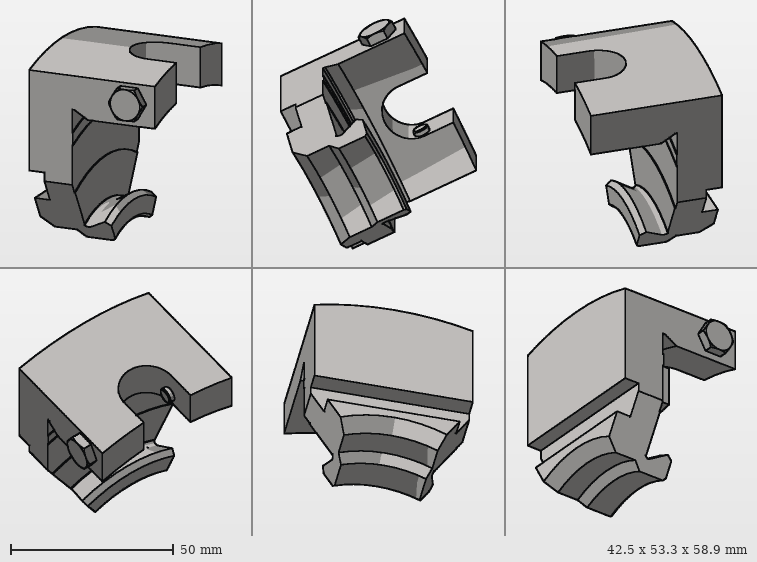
import cadquery as cq
import math

LENGTH = 42.5
WIDTH = 50.05
HEIGHT = 58.85
AXIS_Z = -28.25
TOP_RADIUS = HEIGHT - AXIS_Z

WALL_X = 14.55
ARM_INNER_RADIUS = 74.15
RELIEF_RADIUS = 76.7
RELIEF_FLAT_X = 15.3
RELIEF_END_X = 19.8

TAPER_START_Z = 20.0
BOTTOM_HALF_WIDTH = 13.4
BOTTOM_RADIUS = math.hypot(BOTTOM_HALF_WIDTH, AXIS_Z)

GROOVE_DEPTH = 5.1
GROOVE_BOTTOM_Z = 12.85
GROOVE_TOP_Z = 22.8

FOOT_RADIUS = 34.0
FOOT_CHAMFER_RADIUS = 37.95
FOOT_START_X = 4.05
FOOT_END_X = 11.6
LIP_START_X = 14.25

HOOK_X = 24.1
LIP_CHAMFER = 0.8
CATCH_BASE_RADIUS = 37.85
CATCH_X = 22.15
CATCH_RADIUS = 39.25
ROOT_END_X = 16.85
ROOT_END_RADIUS = 36.2
ROOT_MID_X = 15.7
ROOT_FLOOR_RADIUS = 35.95
ROOT_START_RADIUS = 36.65

PAD_HEIGHT = 0.265
LOWER_PAD_RADIUS = 50.9
BAND_INNER_RADIUS = 65.85
BAND_OUTER_RADIUS = 69.75

SLOT_WIDTH = 18.0
SLOT_END_X = 23.5

BOLT_X = 33.85
BOLT_Z = 49.0
HEAD_FLATS = 10.0
HEAD_HEIGHT = 3.2
HEAD_CHAMFER_ANGLE = 30.0
PIN_X = 31.9
PIN_Z = 49.0
PIN_DIAMETER = 5.0
PIN_PROJECTION = 1.9
PIN_CHAMFER = 0.35
PIN_EMBED = 1.2


def end_prism():
    """Prism along X with a straight upper part and a tapered lower part."""
    half = WIDTH / 2
    return (
        cq.Workplane("YZ")
        .polyline([
            (-BOTTOM_HALF_WIDTH, 0),
            (BOTTOM_HALF_WIDTH, 0),
            (half, TAPER_START_Z),
            (half, HEIGHT),
            (-half, HEIGHT),
            (-half, TAPER_START_Z),
        ])
        .close()
        .extrude(LENGTH)
    )


def turned_body():
    """Side profile of foot, wall and arm, turned about the common axis."""
    def at(x, radius):
        return (x, AXIS_Z + radius)

    pad_x = WALL_X + PAD_HEIGHT
    profile = (
        cq.Workplane("XZ")
        .moveTo(*at(0, TOP_RADIUS))
        .lineTo(*at(0, FOOT_CHAMFER_RADIUS))
        .lineTo(*at(FOOT_START_X, FOOT_RADIUS))
        .lineTo(*at(FOOT_END_X, FOOT_RADIUS))
        .lineTo(*at(LIP_START_X, BOTTOM_RADIUS))
        .lineTo(*at(HOOK_X - LIP_CHAMFER, BOTTOM_RADIUS))
        .lineTo(*at(HOOK_X, BOTTOM_RADIUS + LIP_CHAMFER))
        .lineTo(*at(HOOK_X, CATCH_BASE_RADIUS))
        .lineTo(*at(CATCH_X, CATCH_RADIUS))
        .lineTo(*at(ROOT_END_X, ROOT_END_RADIUS))
        .threePointArc(at(ROOT_MID_X, ROOT_FLOOR_RADIUS), at(WALL_X, ROOT_START_RADIUS))
        .lineTo(*at(pad_x, ROOT_START_RADIUS))
        .lineTo(*at(pad_x, LOWER_PAD_RADIUS))
        .lineTo(*at(WALL_X, LOWER_PAD_RADIUS))
        .lineTo(*at(WALL_X, BAND_INNER_RADIUS))
        .lineTo(*at(pad_x, BAND_INNER_RADIUS))
        .lineTo(*at(pad_x, BAND_OUTER_RADIUS))
        .lineTo(*at(WALL_X, BAND_OUTER_RADIUS))
        .lineTo(*at(WALL_X, RELIEF_RADIUS))
        .lineTo(*at(RELIEF_FLAT_X, RELIEF_RADIUS))
        .lineTo(*at(RELIEF_END_X, ARM_INNER_RADIUS))
        .lineTo(*at(LENGTH, ARM_INNER_RADIUS))
        .lineTo(*at(LENGTH, TOP_RADIUS))
        .close()
    )
    return profile.revolve(360, (0, AXIS_Z, 0), (1, AXIS_Z, 0))


def groove():
    """Groove across the full width of the outer face."""
    return (
        cq.Workplane("XY", origin=(0, 0, GROOVE_BOTTOM_Z))
        .rect(2 * GROOVE_DEPTH, WIDTH)
        .extrude(GROOVE_TOP_Z - GROOVE_BOTTOM_Z)
    )


def arm_slot():
    """Round-ended slot open at the free end of the arm."""
    radius = SLOT_WIDTH / 2
    center_x = SLOT_END_X + radius
    return (
        cq.Workplane("XY", origin=(0, 0, GROOVE_TOP_Z))
        .moveTo(LENGTH, -radius)
        .lineTo(center_x, -radius)
        .threePointArc((SLOT_END_X, 0), (center_x, radius))
        .lineTo(LENGTH, radius)
        .close()
        .extrude(HEIGHT - GROOVE_TOP_Z)
    )


def bolt_head():
    """Hexagonal head with its outer corners turned to a cone."""
    corners = HEAD_FLATS / math.cos(math.pi / 6)
    face_radius = HEAD_FLATS / 2
    rim_radius = corners / 2
    cone_depth = (rim_radius - face_radius) * math.tan(math.radians(HEAD_CHAMFER_ANGLE))
    hexagon = (
        cq.Workplane("XZ", origin=(BOLT_X, -WIDTH / 2, BOLT_Z))
        .polygon(6, corners)
        .extrude(HEAD_HEIGHT)
    )
    envelope = (
        cq.Workplane("XY", origin=(BOLT_X, -WIDTH / 2, BOLT_Z))
        .polyline([
            (0, 0),
            (rim_radius, 0),
            (rim_radius, cone_depth - HEAD_HEIGHT),
            (face_radius, -HEAD_HEIGHT),
            (0, -HEAD_HEIGHT),
        ])
        .close()
        .revolve(360, (0, 0, 0), (0, 1, 0))
    )
    return hexagon.intersect(envelope)


def slot_pin():
    """Chamfered pin standing out of the +Y wall of the slot."""
    return (
        cq.Workplane("XZ", origin=(PIN_X, SLOT_WIDTH / 2 + PIN_EMBED, PIN_Z))
        .circle(PIN_DIAMETER / 2)
        .extrude(PIN_PROJECTION + PIN_EMBED)
        .faces("<Y")
        .chamfer(PIN_CHAMFER)
    )


body = turned_body().intersect(end_prism())
body = body.cut(groove()).cut(arm_slot())
result = body.union(bolt_head()).union(slot_pin())